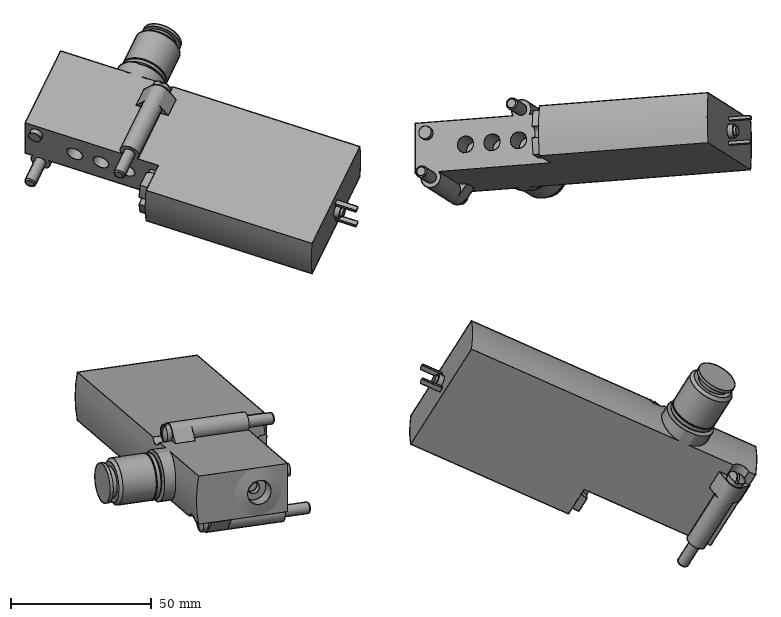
import cadquery as cq
import math


body_height = 18.3
body_left = 0.9
body_right = 115.4
step_x = 51.8
back_y = 34.2
front_y = -11.8
crown = 0.9
half_height = body_height / 2

port_diameter = 6.0
port_depth = 9.9
port_pitch = 10.0
middle_port_x = 29.9
pin_diameter = 4.7
pin_length = 2.0
pin_x = 5.3
pin_z = 5.0

axis_y = 11.2
cone_diameter = 18.0
end_port_diameter = 9.0
end_port_depth = 5.0
pilot_diameter = 4.2
pilot_depth = 2.5
button_steps = [(5.0, 2.0), (3.5, 3.0)]

blade_tip_x = 123.4
blade_length = blade_tip_x - body_right
blade_thickness = 1.1
blade_width = 1.9
blade_offset = 4.5
blade_tip_radius = 0.2

plate_thickness = 3.1
plate_half_height = 8.0
plate_neck_half = 5.3
plate_shoulder_y = -2.7
plate_shoulder_drop = 1.0
plate_corner_y = -9.7
plate_crown_y = -10.9
notch_radius = 2.1
notch_center_y = -9.7

upper_lug_x = 40.8
lower_lug_x = 6.8
lug_z = 11.1
sleeve_diameter = 7.3
sleeve_length = 29.4
web_start = 21.7
web_half_width = 6.2
screw_diameter = 4.2
screw_length = 10.5
screw_chamfer = 0.5
head_diameter = 6.5
head_top = 31.2
dome_height = 0.9
slot_width = 1.1
slot_depth = 1.5

flange_diameter = 18.8
flange_end = 39.2
fitting_profile = [
    (13.2, 39.9),
    (17.0, 56.0),
    (11.5, 58.1),
    (14.5, 59.4),
]
collar_index = 1
collar_end_chamfer = 1.1
collar_base_chamfer = 0.5
ring_groove_y = 41.7
ring_groove_width = 0.4
ring_groove_depth = 0.1


def box(x_range, y_range, z_range):
    """Axis-aligned box between the given limits."""
    sizes = [end - start for start, end in (x_range, y_range, z_range)]
    return cq.Workplane("XY").box(*sizes, centered=False).translate((x_range[0], y_range[0], z_range[0]))


def cylinder_y(diameter, x, z, y_start, y_end):
    """Cylinder along Y."""
    disc = cq.Workplane("XZ", origin=(x, y_start, z)).circle(diameter / 2)
    return disc.extrude(y_start - y_end)


def cylinder_x(diameter, x_start, x_end):
    """Cylinder along X on the common axis of end port and button."""
    disc = cq.Workplane("YZ", origin=(x_start, axis_y, 0)).circle(diameter / 2)
    return disc.extrude(x_end - x_start)


def make_body():
    crowned = (
        cq.Workplane("YZ", origin=(body_left, 0, 0))
        .moveTo(front_y, -half_height)
        .lineTo(back_y, -half_height)
        .threePointArc((back_y + crown, 0), (back_y, half_height))
        .lineTo(front_y, half_height)
        .threePointArc((front_y - crown, 0), (front_y, -half_height))
        .close()
        .extrude(body_right - body_left)
    )
    corner = box((body_left, step_x), (front_y - crown, 0), (-half_height, half_height))
    return crowned.cut(corner)


def make_connector_plate():
    plate = (
        cq.Workplane("YZ", origin=(step_x - plate_thickness, 0, 0))
        .moveTo(0, -plate_half_height)
        .lineTo(plate_corner_y, -plate_half_height)
        .threePointArc((plate_crown_y, 0), (plate_corner_y, plate_half_height))
        .lineTo(0, plate_half_height)
        .close()
        .extrude(plate_thickness)
    )
    notch = cylinder_x(2 * notch_radius, 0, step_x).translate((0, notch_center_y - axis_y, 0))
    notch = notch.union(box((0, step_x), (plate_crown_y, notch_center_y), (-notch_radius, notch_radius)))
    shoulder = (
        cq.Workplane("XY", origin=(0, 0, plate_neck_half))
        .moveTo(step_x, 0)
        .lineTo(step_x, plate_shoulder_y)
        .lineTo(step_x - plate_thickness, plate_shoulder_y - plate_shoulder_drop)
        .lineTo(step_x - plate_thickness, 0)
        .close()
        .extrude(plate_half_height - plate_neck_half)
    )
    return plate.cut(notch).cut(shoulder).cut(shoulder.mirror("XY"))


def make_end_cone():
    return (
        cq.Workplane("YZ", origin=(body_left, axis_y, 0))
        .circle(cone_diameter / 2)
        .workplane(offset=-body_left)
        .circle(end_port_diameter / 2)
        .loft()
    )


def make_blade(z):
    blade = cq.Workplane("XY").box(blade_length, blade_width, blade_thickness)
    blade = blade.faces(">X").edges().fillet(blade_tip_radius)
    return blade.translate((body_right + blade_length / 2, axis_y, z))


def make_web(x):
    """Block whose sloped flanks run tangent to the lug sleeve."""
    radius = sleeve_diameter / 2
    rise = lug_z - half_height
    reach = math.hypot(web_half_width, rise)
    slope = math.atan2(rise, web_half_width) + math.asin(radius / reach)
    tangent_x = radius * math.sin(slope)
    tangent_z = lug_z + radius * math.cos(slope)
    return (
        cq.Workplane("XZ", origin=(x, web_start, 0))
        .moveTo(-web_half_width, half_height)
        .lineTo(-tangent_x, tangent_z)
        .lineTo(tangent_x, tangent_z)
        .lineTo(web_half_width, half_height)
        .close()
        .extrude(web_start - sleeve_length)
    )


def make_screw_head(x):
    radius = head_diameter / 2
    dome_y = head_top + dome_height
    sphere_radius = (radius**2 + dome_height**2) / (2 * dome_height)
    sphere = cq.Workplane("XY", origin=(x, dome_y - sphere_radius, lug_z)).sphere(sphere_radius)
    head = cylinder_y(head_diameter, x, lug_z, sleeve_length, dome_y).intersect(sphere)
    slot = cq.Workplane("XY").box(slot_width, 2 * slot_depth, head_diameter)
    return head.cut(slot.translate((x, dome_y, lug_z)))


def make_lug(x):
    screw = cylinder_y(screw_diameter, x, lug_z, 0, -screw_length)
    screw = screw.faces("<Y").chamfer(screw_chamfer)
    sleeve = cylinder_y(sleeve_diameter, x, lug_z, 0, sleeve_length)
    return sleeve.union(make_web(x)).union(screw).union(make_screw_head(x))


def make_head_clearance(x):
    """Bore of the sleeve diameter that opens the way to the screw head."""
    return cylinder_y(sleeve_diameter, x, lug_z, sleeve_length, back_y + crown)


def finish_collar(collar, diameter):
    """Chamfer both ends of the collar and cut its shallow ring groove."""
    collar = collar.faces(">Y").chamfer(collar_end_chamfer)
    collar = collar.faces("<Y").chamfer(collar_base_chamfer)
    groove_end = ring_groove_y + ring_groove_width
    ring = cylinder_y(diameter, middle_port_x, 0, ring_groove_y, groove_end)
    core_diameter = diameter - 2 * ring_groove_depth
    core = cylinder_y(core_diameter, middle_port_x, 0, ring_groove_y, groove_end)
    return collar.cut(ring.cut(core))


def make_fitting():
    flange = cylinder_y(flange_diameter, middle_port_x, 0, back_y - crown, flange_end)
    fitting = flange.intersect(box((0, body_right), (0, flange_end), (-half_height, half_height)))
    start = flange_end
    for index, (diameter, end) in enumerate(fitting_profile):
        section = cylinder_y(diameter, middle_port_x, 0, start, end)
        if index == collar_index:
            section = finish_collar(section, diameter)
        fitting = fitting.union(section)
        start = end
    return fitting


def mirrored_below(shape):
    """Copy of an upper feature on the underside of the body."""
    return shape.mirror("XY")


result = make_body()
result = result.cut(make_head_clearance(upper_lug_x))
result = result.cut(mirrored_below(make_head_clearance(lower_lug_x)))
result = result.union(make_lug(upper_lug_x))
result = result.union(mirrored_below(make_lug(lower_lug_x)))
result = result.union(make_connector_plate())
result = result.union(make_fitting())
result = result.union(cylinder_y(pin_diameter, pin_x, pin_z, 0, -pin_length))

for step in (-1, 0, 1):
    port_x = middle_port_x + step * port_pitch
    result = result.cut(cylinder_y(port_diameter, port_x, 0, 0, port_depth))

result = result.union(make_end_cone())
result = result.cut(cylinder_x(end_port_diameter, 0, end_port_depth))
result = result.cut(cylinder_x(pilot_diameter, end_port_depth, end_port_depth + pilot_depth))

for button_diameter, button_reach in button_steps:
    result = result.union(cylinder_x(button_diameter, body_right, body_right + button_reach))

for blade_z in (-blade_offset, blade_offset):
    result = result.union(make_blade(blade_z))